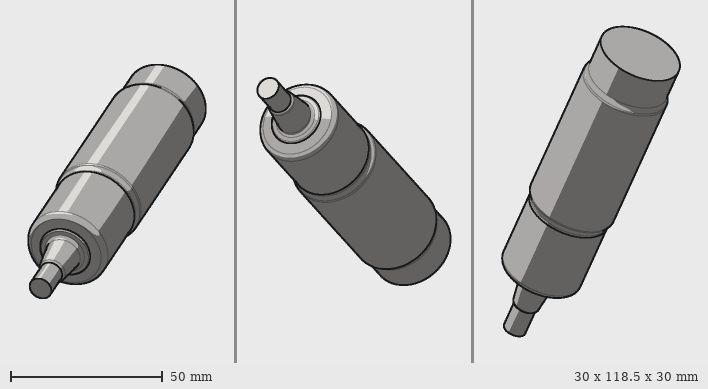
import cadquery as cq
import math

total_length = 118.5

barrel_radius = 30.0 / 2
end_radius = 14.0
barrel_start = 14.2
barrel_end = 64.0
sleeve_end = 67.5
crest_radius = 1.0
root_radius = 3.0

shoulder_step = barrel_radius - end_radius
shoulder_angle = math.acos(1 - shoulder_step / (crest_radius + root_radius))
crest_length = crest_radius * math.sin(shoulder_angle)
shoulder_length = (crest_radius + root_radius) * math.sin(shoulder_angle)
crest_end_radius = barrel_radius - crest_radius * (1 - math.cos(shoulder_angle))

rim_start = 92.6
rim_rounding = 2.0
face_slope = math.radians(9.5)
face_outer_radius = end_radius - rim_rounding * (1 - math.sin(face_slope))
face_start = rim_start + rim_rounding * math.cos(face_slope)

collar_radius = 8.8
collar_rounding = 0.5
collar_height = 0.7
collar_root = face_start + (face_outer_radius - collar_radius) * math.tan(face_slope)
collar_front = collar_root + collar_height
collar_face_rise = 0.18

boot_start = 97.3
boot_end = 107.6
boot_base_radius = 12.0 / 2
boot_tip_radius = 9.1 / 2
boot_root_flare = 1.0
boot_tip_rounding = 0.8
cable_radius = 7.7 / 2


def at(radius, station):
    """Profile point at a radius and a station."""
    return (radius, -station)


def revolve_about_y(profile):
    """Turn a closed half profile in the XY plane about the Y axis."""
    return profile.revolve(360, (0, 0, 0), (0, 1, 0))


def make_sleeve():
    profile = (
        cq.Workplane("XY")
        .moveTo(0, 0)
        .lineTo(*at(end_radius, 0))
        .lineTo(*at(end_radius, barrel_start - shoulder_length))
        .tangentArcPoint(at(crest_end_radius, barrel_start - crest_length), relative=False)
        .tangentArcPoint(at(barrel_radius, barrel_start), relative=False)
        .lineTo(*at(barrel_radius, barrel_end))
        .tangentArcPoint(at(crest_end_radius, barrel_end + crest_length), relative=False)
        .tangentArcPoint(at(end_radius, barrel_end + shoulder_length), relative=False)
        .lineTo(*at(end_radius, sleeve_end))
        .lineTo(*at(0, sleeve_end))
        .close()
    )
    return revolve_about_y(profile)


def make_cable_cap():
    """Front cap, collar, strain relief and cable as one turned body."""
    profile = (
        cq.Workplane("XY")
        .moveTo(*at(0, sleeve_end))
        .lineTo(*at(end_radius, sleeve_end))
        .lineTo(*at(end_radius, rim_start))
        .tangentArcPoint(at(face_outer_radius, face_start), relative=False)
        .lineTo(*at(collar_radius, collar_root))
        .lineTo(*at(collar_radius, collar_front - collar_rounding))
        .tangentArcPoint(at(collar_radius - collar_rounding, collar_front), relative=False)
        .lineTo(*at(boot_base_radius + boot_root_flare, collar_front + collar_face_rise))
        .tangentArcPoint(at(boot_base_radius, boot_start), relative=False)
        .lineTo(*at(boot_tip_radius, boot_end))
        .tangentArcPoint(at(cable_radius, boot_end + boot_tip_rounding), relative=False)
        .lineTo(*at(cable_radius, total_length))
        .lineTo(*at(0, total_length))
        .close()
    )
    return revolve_about_y(profile)


sleeve = make_sleeve()
cable_cap = make_cable_cap()

result = cq.Compound.makeCompound([sleeve.val(), cable_cap.val()])